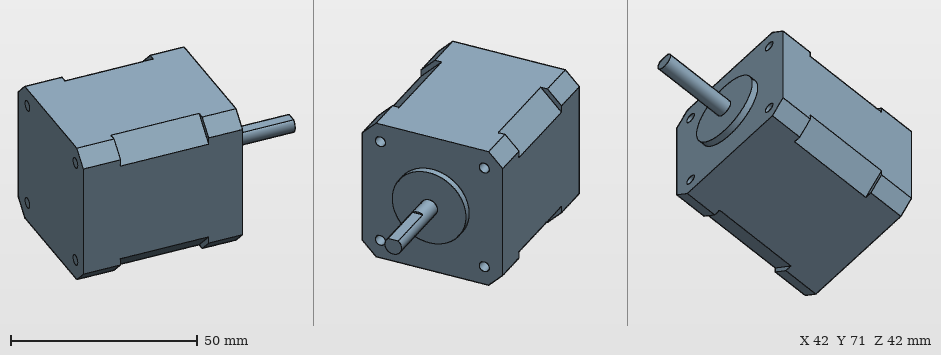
import cadquery as cq

body_width = 42.0
front_cap_length = 10.0
stator_length = 26.0
rear_cap_length = 11.0
body_length = front_cap_length + stator_length + rear_cap_length
cap_corner_cut = 4.2
stator_corner_cut = 6.2

pilot_diameter = 22.0
pilot_height = 2.0
shaft_diameter = 5.0
shaft_length = 22.0
shaft_tip_y = pilot_height + shaft_length
flat_length = 15.0
flat_depth = 0.5

screw_spacing = 31.0
screw_diameter = 3.0
rear_skin = 0.2
screw_hole_depth = body_length - rear_skin


def section_block(front_y, length, corner_cut):
    """Square block with cut corners, running from front_y toward -Y."""
    return (
        cq.Workplane("XZ", origin=(0, front_y, 0))
        .rect(body_width, body_width)
        .extrude(length)
        .edges("|Y")
        .chamfer(corner_cut)
    )


def cylinder_forward(start_y, diameter, length):
    """Cylinder on the shaft axis, running from start_y toward +Y."""
    return cq.Workplane("XZ", origin=(0, start_y, 0)).circle(diameter / 2).extrude(-length)


def make_body():
    front_cap = section_block(0, front_cap_length, cap_corner_cut)
    stator = section_block(-front_cap_length, stator_length, stator_corner_cut)
    rear_cap = section_block(-front_cap_length - stator_length, rear_cap_length, cap_corner_cut)
    return front_cap.union(stator).union(rear_cap)


def make_shaft():
    """Round shaft with a flat on its +Z side at the tip."""
    shaft = cylinder_forward(pilot_height, shaft_diameter, shaft_length)
    flat_cutter = cq.Workplane("XY").box(
        shaft_diameter, flat_length, flat_depth, centered=(True, False, False)
    )
    flat_bottom_z = shaft_diameter / 2 - flat_depth
    return shaft.cut(flat_cutter.translate((0, shaft_tip_y - flat_length, flat_bottom_z)))


def make_screw_holes():
    """Four long blind holes running from the front face toward -Y."""
    return (
        cq.Workplane("XZ")
        .rect(screw_spacing, screw_spacing, forConstruction=True)
        .vertices()
        .circle(screw_diameter / 2)
        .extrude(screw_hole_depth)
    )


pilot = cylinder_forward(0, pilot_diameter, pilot_height)
motor = make_body().union(pilot).union(make_shaft())
result = motor.cut(make_screw_holes())